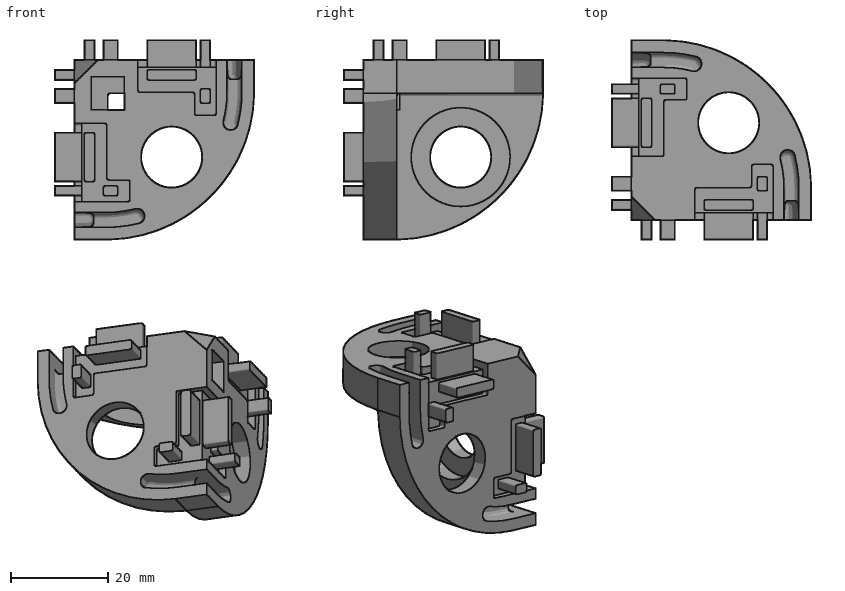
import cadquery as cq
import math


overall_size = 41.0
peg_reach = 4.0
plate_size = overall_size - peg_reach
plate_thickness = 6.9
straight_edge = 6.5
rim_radius = plate_size - straight_edge
inside_fillet = 0.57
apex_chamfer = 4.88

hole_position = 20.0
hole_diameter = 12.5
hole_lip = 3.35
counterbore_diameter = 20.35

window_size = 6.8
window_offset = 3.5

recess_depth = 1.55
recess_start = 13.08
recess_step = 24.72
recess_end = 29.15
recess_narrow = 6.7
recess_wide = 11.45
recess_fillet = 0.45

blade_length = 10.1
blade_thickness = 2.1
blade_offset = 3.1
pin_length = 2.0
pin_thickness = 2.95
pin_position = 26.95
pin_offset = 7.45
peg_fillet = 0.35

groove_center = 32.92
groove_width = 3.08
groove_floor_width = 2.7
groove_depth = 4.0
groove_fillet = 0.95
groove_sweep = math.radians(14)

overrun = 4.1


def front_plane(depth=0.0):
    """Sketch plane parallel to the -Y face; local axes are X and Z, extrusion goes toward +Y."""
    return cq.Workplane("XZ", origin=(0, depth, 0))


def both_edges(feature):
    """Pair a feature beside the X edge with its copy beside the Z edge of the same face."""
    return [feature, feature.mirror(cq.Vector(1, 0, 1))]


def three_faces(feature):
    """Copies of a -Y face feature on all three outer faces."""
    return [feature.rotate((0, 0, 0), (1, 1, -1), turn) for turn in (0, 120, 240)]


def rim_point(radius, angle):
    """Point around the rim arc centre, with the angle measured from +X toward -Z."""
    return (
        straight_edge + radius * math.cos(angle),
        -straight_edge - radius * math.sin(angle),
    )


def make_plate():
    return (
        front_plane()
        .lineTo(plate_size, 0)
        .lineTo(plate_size, -straight_edge)
        .threePointArc(rim_point(rim_radius, math.pi / 4), (straight_edge, -plate_size))
        .lineTo(0, -plate_size)
        .close()
        .extrude(-plate_thickness)
    )


def make_hole():
    hole = (
        front_plane()
        .center(hole_position, -hole_position)
        .circle(hole_diameter / 2)
        .extrude(-plate_thickness)
    )
    counterbore = (
        front_plane(hole_lip)
        .center(hole_position, -hole_position)
        .circle(counterbore_diameter / 2)
        .extrude(hole_lip - plate_thickness)
    )
    return hole.union(counterbore)


def make_recess():
    outline = [
        (recess_start, overrun),
        (recess_start, -recess_narrow),
        (recess_step, -recess_narrow),
        (recess_step, -recess_wide),
        (recess_end, -recess_wide),
        (recess_end, overrun),
    ]
    recess = front_plane().polyline(outline).close().extrude(-recess_depth)
    return recess.edges("|Y").fillet(recess_fillet)


def groove_outline(width, depth):
    """Closed groove outline of the given width with a round end, drawn at a depth below the face."""
    half = width / 2
    middle_radius = groove_center - straight_edge
    inner_radius = middle_radius - half
    outer_radius = middle_radius + half
    cap_x, cap_z = rim_point(middle_radius, groove_sweep)
    cap_tip = (cap_x - half * math.sin(groove_sweep), cap_z - half * math.cos(groove_sweep))
    return (
        front_plane(depth)
        .moveTo(groove_center - half, overrun)
        .lineTo(groove_center + half, overrun)
        .lineTo(groove_center + half, -straight_edge)
        .threePointArc(rim_point(outer_radius, groove_sweep / 2), rim_point(outer_radius, groove_sweep))
        .threePointArc(cap_tip, rim_point(inner_radius, groove_sweep))
        .threePointArc(rim_point(inner_radius, groove_sweep / 2), rim_point(inner_radius, 0))
        .close()
        .val()
    )


def make_groove():
    mouth = groove_outline(groove_width, 0)
    floor = groove_outline(groove_floor_width, groove_depth)
    groove = cq.Workplane(cq.Solid.makeLoft([mouth, floor], True))
    return groove.faces(">Y").edges().fillet(groove_fillet)


def make_peg(position, offset, length, thickness):
    return (
        front_plane(recess_depth)
        .center(position, -offset)
        .rect(length, thickness)
        .extrude(recess_depth + peg_reach)
        .edges("|Y")
        .fillet(peg_fillet)
    )


def make_inside_fillet():
    """Fillet strip along the inside corner between the -X and -Y plates, ending at the rim."""
    corner = plate_thickness
    run = plate_thickness + inside_fillet
    rim_reach = straight_edge + math.sqrt(rim_radius**2 - (run - straight_edge) ** 2)
    return (
        cq.Workplane("XY", origin=(0, 0, -rim_reach))
        .moveTo(corner, corner)
        .lineTo(run, corner)
        .radiusArc((corner, run), inside_fillet)
        .close()
        .extrude(rim_reach)
    )


def make_apex_cutter():
    """Prism facing the apex along the body diagonal; its base is the chamfer plane."""
    chamfer_plane = cq.Plane(
        origin=(apex_chamfer, 0, 0),
        xDir=(1, -1, 0),
        normal=(-1, -1, 1),
    )
    return cq.Workplane(chamfer_plane).rect(4 * apex_chamfer, 4 * apex_chamfer).extrude(apex_chamfer)


def make_window():
    """Square opening deep enough to clear the inside fillets behind it."""
    depth = plate_thickness + inside_fillet
    center = window_offset + window_size / 2
    return front_plane().center(center, -center).rect(window_size, window_size).extrude(-depth)


blade = make_peg(hole_position, blade_offset, blade_length, blade_thickness)
pin = make_peg(pin_position, pin_offset, pin_length, pin_thickness)

solids = [make_plate(), make_inside_fillet()]
cutters = [make_hole(), *both_edges(make_recess()), *both_edges(make_groove())]
pegs = [*both_edges(blade), *both_edges(pin)]

result = cq.Workplane("XY")
for solid in solids:
    for copy in three_faces(solid):
        result = result.union(copy)
for cutter in cutters:
    for copy in three_faces(cutter):
        result = result.cut(copy)
result = result.cut(make_apex_cutter()).cut(make_window())
for peg in pegs:
    for copy in three_faces(peg):
        result = result.union(copy)